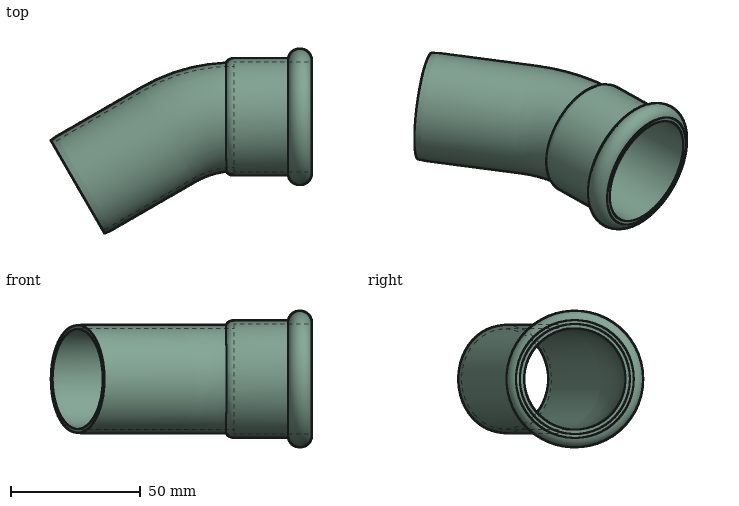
import cadquery as cq
import math


pipe_od = 42.0
wall = 1.5
pipe_id = pipe_od - 2 * wall

bend_angle = 30.0
bend_radius = 50.0
bend_tangent = bend_radius * math.tan(math.radians(bend_angle / 2))

corner_to_spigot_end = 54.0
leg_length = corner_to_spigot_end - bend_tangent
taper_length = 2.8
taper_depth = 0.25

socket_od = 45.4
socket_id = socket_od - 2 * wall
socket_length = 30.0
shoulder_radius = 3.5

bead_od = 52.7
bead_section_radius = 4.65
bead_centre_radius = bead_od / 2 - bead_section_radius
bead_to_mouth = 4.6


def revolve_about_x(profile):
    """Turn a profile drawn in the XY plane once around the X axis."""
    return profile.revolve(360, (0, 0, 0), (1, 0, 0))


def bend(radius):
    """Solid bend of the given section radius, starting at the origin."""
    section = cq.Workplane("YZ").circle(radius)
    return section.revolve(bend_angle, (-bend_radius, 0, 0), (-bend_radius, 1, 0))


def leg(radius):
    """Solid leg with a tapered end, placed at the far end of the bend."""
    profile = (
        cq.Workplane("XY")
        .lineTo(0, radius)
        .lineTo(taper_length - leg_length, radius)
        .lineTo(-leg_length, radius - taper_depth)
        .lineTo(-leg_length, 0)
        .close()
    )
    bend_centre = (0, -bend_radius, 0)
    bend_axis_end = (0, -bend_radius, 1)
    return revolve_about_x(profile).rotate(bend_centre, bend_axis_end, bend_angle)


def socket_body():
    """Solid socket with a rounded shoulder at the bend side."""
    outer_radius = socket_od / 2
    arc_centre_y = outer_radius - shoulder_radius
    arc_mid = shoulder_radius * math.sqrt(0.5)
    profile = (
        cq.Workplane("XY")
        .moveTo(-shoulder_radius, 0)
        .lineTo(-shoulder_radius, arc_centre_y)
        .threePointArc((-arc_mid, arc_centre_y + arc_mid), (0, outer_radius))
        .lineTo(socket_length, outer_radius)
        .lineTo(socket_length, 0)
        .close()
    )
    return revolve_about_x(profile)


def bead():
    """Ring bulging from the socket, trimmed at the mouth plane."""
    bead_x = socket_length - bead_to_mouth
    section = cq.Workplane("XY").moveTo(bead_x, bead_centre_radius).circle(bead_section_radius)
    behind_mouth = cq.Workplane("YZ").circle(bead_od).extrude(socket_length)
    return revolve_about_x(section).intersect(behind_mouth)


def socket_bore():
    """Cylinder that opens the socket down to the step at the bend."""
    return cq.Workplane("YZ").circle(socket_id / 2).extrude(socket_length)


outside = bend(pipe_od / 2).union(leg(pipe_od / 2)).union(socket_body()).union(bead())
inside = bend(pipe_id / 2).union(leg(pipe_id / 2)).union(socket_bore())
result = outside.cut(inside)